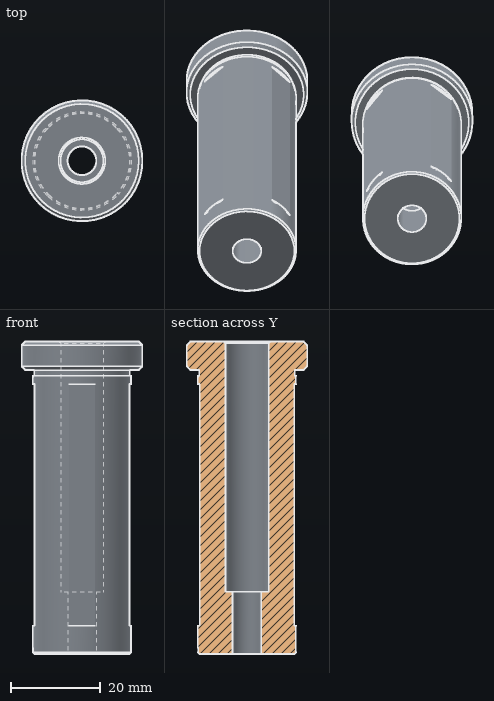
import cadquery as cq
import math

total_height = 69.85
flange_diameter = 27.0
flange_height = 6.4
flange_chamfer = 0.85
body_diameter = 22.0
foot_chamfer = 0.4

groove_diameter = 21.4
groove_height = 1.25

flat_width = 5.7
flat_bottom = 6.35
flat_top = 60.3
flat_count = 4

bore_diameter = 9.6
bore_chamfer = 0.4
bore_depth = 55.9
through_diameter = 6.35

flange_bottom = total_height - flange_height
body_radius = body_diameter / 2


def make_flanged_body():
    body = cq.Workplane("XY").circle(body_radius).extrude(flange_bottom)
    body = body.faces("<Z").chamfer(foot_chamfer)
    flange = (
        cq.Workplane("XY", origin=(0, 0, flange_bottom))
        .circle(flange_diameter / 2)
        .extrude(flange_height)
        .edges()
        .chamfer(flange_chamfer)
    )
    return body.union(flange)


def make_groove():
    return (
        cq.Workplane("XY", origin=(0, 0, flange_bottom - groove_height))
        .circle(body_radius)
        .circle(groove_diameter / 2)
        .extrude(groove_height)
    )


def make_flat_cutter(angle):
    """Block that leaves a flat of the given chord width on the round body."""
    flat_distance = math.sqrt(body_radius**2 - (flat_width / 2) ** 2)
    return (
        cq.Workplane("XY")
        .box(body_radius, flat_width, flat_top - flat_bottom, centered=(False, True, False))
        .translate((flat_distance, 0, flat_bottom))
        .rotate((0, 0, 0), (0, 0, 1), angle)
    )


def make_bore():
    through = cq.Workplane("XY").circle(through_diameter / 2).extrude(total_height)
    bore = (
        cq.Workplane("XY", origin=(0, 0, total_height - bore_depth))
        .circle(bore_diameter / 2)
        .extrude(bore_depth)
    )
    lead_in = (
        cq.Workplane("XY", origin=(0, 0, total_height))
        .circle(bore_diameter / 2 + bore_chamfer)
        .workplane(offset=-bore_chamfer)
        .circle(bore_diameter / 2)
        .loft()
    )
    return through.union(bore).union(lead_in)


result = make_flanged_body().cut(make_groove()).cut(make_bore())
for index in range(flat_count):
    result = result.cut(make_flat_cutter(index * 360 / flat_count))